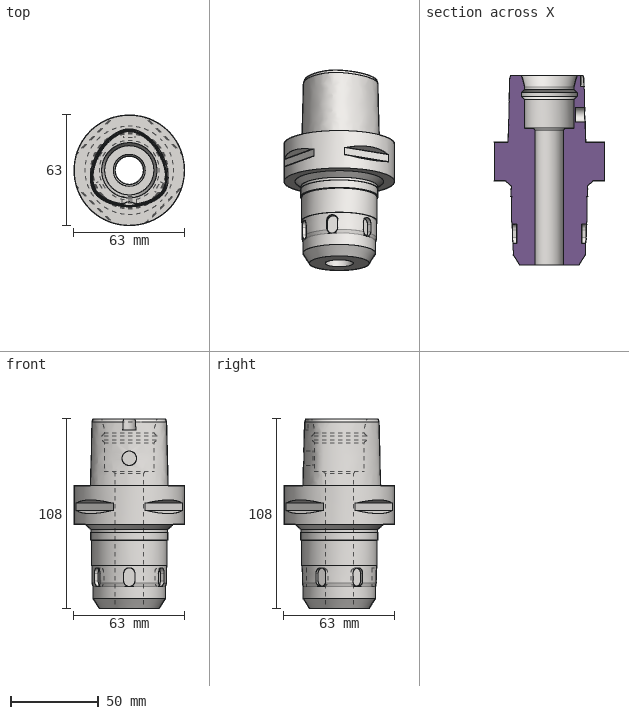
import cadquery as cq
import math


shank_height = 38.0
shank_mean_radius = 22.2
shank_lobe = 1.4
shank_taper = 1 / 40
lead_in_height = 1.6
lead_in_inset = 0.6
section_points = 48

flange_radius = 31.5
flange_height = 22.0

groove_count = 4
groove_first_angle = 45
groove_floor_distance = 27.65
groove_wall_height = 0.5
groove_floor_width = 4.3
groove_mouth_width = 7.75
groove_center_z = -12.0

neck_top_radius = 25.2
neck_cone_end_z = -25.0
neck_radius = 21.85
collar_top_z = -26.6
collar_radius = 22.0
collar_end_z = -31.0
relief_height = 0.3
relief_radius = 21.4
nut_radius = 21.6
slot_band_top_z = -45.45
slot_band_top_radius = 21.35
slot_band_end_z = -55.4
slot_band_end_radius = 21.25
nose_top_z = -57.4
nose_radius = 20.7
nose_cone_z = -64.15
tip_radius = 17.05
tip_z = -70.0

slot_count = 6
slot_first_angle = 30
slot_width = 6.4
slot_top_z = -46.75
slot_bottom_z = -57.4
slot_floor_distance = 18.6

mouth_radius = 15.75
bore_radius = 14.0
mouth_cone_depth = 6.5
undercut_start_depth = 8.0
undercut_radius = 15.8
undercut_top_depth = undercut_start_depth + undercut_radius - bore_radius
undercut_bottom_depth = 11.85
undercut_end_depth = undercut_bottom_depth + undercut_radius - bore_radius
bore_depth = 30.0
through_radius = 8.0
through_chamfer = 1.1

key_radius = 4.6
key_depth_y = -17.9
key_floor_z = 31.8
hole_diameter = 8.2
hole_z = 15.6
hole_floor_wall = 1.0
hole_floor_y = -bore_radius - hole_floor_wall


def revolve_profile(points):
    """Revolve a closed (radius, z) outline about the Z axis."""
    return cq.Workplane("XZ").polyline(points).close().revolve(360, (0, 0, 0), (0, 1, 0))


def lobed_section(mean_radius, z):
    """Three-lobed constant-width curve with one lobe pointing to +Y."""
    points = []
    for index in range(section_points):
        angle = 2 * math.pi * index / section_points
        support = mean_radius - shank_lobe * math.sin(3 * angle)
        slope = -3 * shank_lobe * math.cos(3 * angle)
        x = support * math.cos(angle) - slope * math.sin(angle)
        y = support * math.sin(angle) + slope * math.cos(angle)
        points.append(cq.Vector(x, y, z))
    return cq.Wire.assembleEdges([cq.Edge.makeSpline(points, periodic=True)])


def lobed_frustum(bottom_radius, bottom_z, top_radius, top_z):
    sections = [lobed_section(bottom_radius, bottom_z), lobed_section(top_radius, top_z)]
    return cq.Workplane("XY").newObject([cq.Solid.makeLoft(sections, True)])


def make_shank():
    lead_in_z = shank_height - lead_in_height
    lead_in_radius = shank_mean_radius - shank_taper * lead_in_z
    body = lobed_frustum(shank_mean_radius, 0, lead_in_radius, lead_in_z)
    lead_in = lobed_frustum(lead_in_radius, lead_in_z, lead_in_radius - lead_in_inset, shank_height)
    return body.union(lead_in)


def make_turned_body():
    relief_end_z = collar_end_z - relief_height
    return revolve_profile([
        (0, 0),
        (flange_radius, 0),
        (flange_radius, -flange_height),
        (neck_top_radius, -flange_height),
        (neck_radius, neck_cone_end_z),
        (neck_radius, collar_top_z),
        (collar_radius, collar_top_z),
        (collar_radius, collar_end_z),
        (relief_radius, collar_end_z),
        (relief_radius, relief_end_z),
        (nut_radius, relief_end_z),
        (nut_radius, slot_band_top_z),
        (slot_band_top_radius, slot_band_top_z),
        (slot_band_end_radius, slot_band_end_z),
        (nose_radius, nose_top_z),
        (nose_radius, nose_cone_z),
        (tip_radius, tip_z),
        (0, tip_z),
    ])


def make_bore():
    profile = [
        (mouth_radius, 0),
        (bore_radius, mouth_cone_depth),
        (bore_radius, undercut_start_depth),
        (undercut_radius, undercut_top_depth),
        (undercut_radius, undercut_bottom_depth),
        (bore_radius, undercut_end_depth),
        (bore_radius, bore_depth),
        (through_radius + through_chamfer, bore_depth),
        (through_radius, bore_depth + through_chamfer),
        (through_radius, shank_height - tip_z),
    ]
    outline = [(radius, shank_height - depth) for radius, depth in profile]
    return revolve_profile([(0, shank_height)] + outline + [(0, tip_z)])


def make_gripper_groove():
    """Groove across the +X side of the rim: flat floor, short straight walls, flared flanks."""
    floor_half = groove_floor_width / 2
    mouth_half = groove_mouth_width / 2
    flare_start = groove_floor_distance + groove_wall_height
    return (
        cq.Workplane("XZ", origin=(0, flange_radius, groove_center_z))
        .polyline([
            (groove_floor_distance, -floor_half),
            (flare_start, -floor_half),
            (flange_radius, -mouth_half),
            (flange_radius, mouth_half),
            (flare_start, floor_half),
            (groove_floor_distance, floor_half),
        ])
        .close()
        .extrude(2 * flange_radius)
    )


def make_spanner_slot():
    """Upright round-ended slot with a flat floor on the +X side."""
    center_z = (slot_top_z + slot_bottom_z) / 2
    return (
        cq.Workplane("YZ", origin=(slot_floor_distance, 0, center_z))
        .slot2D(slot_top_z - slot_bottom_z, slot_width, 90)
        .extrude(flange_radius - slot_floor_distance)
    )


def make_keyway():
    return (
        cq.Workplane("XY", origin=(0, key_depth_y - key_radius, key_floor_z))
        .circle(key_radius)
        .extrude(shank_height - key_floor_z)
    )


def make_orientation_hole():
    return (
        cq.Workplane("XZ", origin=(0, hole_floor_y, hole_z))
        .circle(hole_diameter / 2)
        .extrude(flange_radius + hole_floor_y)
    )


def cut_around(body, tool, count, first_angle):
    """Cut evenly spaced copies of the tool around the Z axis."""
    for index in range(count):
        angle = first_angle + index * 360 / count
        body = body.cut(tool.rotate((0, 0, 0), (0, 0, 1), angle))
    return body


body = make_turned_body().union(make_shank())
body = body.cut(make_bore())
body = cut_around(body, make_gripper_groove(), groove_count, groove_first_angle)
body = cut_around(body, make_spanner_slot(), slot_count, slot_first_angle)
body = body.cut(make_keyway())
result = body.cut(make_orientation_hole())